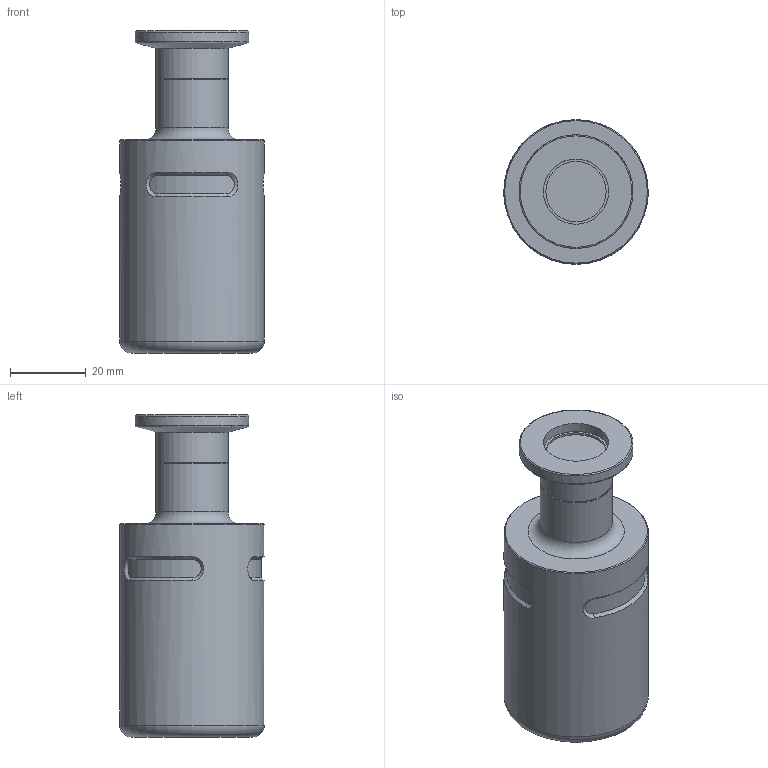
import cadquery as cq
import math

total_height = 84.96

body_diameter = 38.1
body_height = 56.2
body_top_chamfer = 0.25
body_bottom_fillet = 3.175

tube_diameter = 19.05
tube_base_fillet = 3.175
seam_depth_below_top = 12.7
seam_groove_width = 0.4

flange_diameter = 30.0
flange_rim_thickness = 3.1
flange_back_angle = 15.0
flange_edge_fillet = 0.3

recess_diameter = 17.2
recess_depth = 2.6
bore_diameter = 15.9
bore_depth = 3.2

slot_count = 3
slot_width = 6.35
slot_depth = 0.79
slot_span_angle = 61.0
slot_center_height = 44.4
first_slot_angle = -90.0
cutter_overlap = 0.5

body_radius = body_diameter / 2
tube_radius = tube_diameter / 2
flange_radius = flange_diameter / 2


def make_body():
    body = cq.Workplane("XY").circle(body_radius).extrude(body_height)
    body = body.faces(">Z").edges().chamfer(body_top_chamfer)
    return body.faces("<Z").edges().fillet(body_bottom_fillet)


def make_neck_and_flange():
    """Revolved tube, concave base fillet, seam groove and flange, starting at the body's top face."""
    seam_z = total_height - seam_depth_below_top
    half_groove = seam_groove_width / 2
    rim_bottom = total_height - flange_rim_thickness
    back_drop = (flange_radius - tube_radius) * math.tan(math.radians(flange_back_angle))
    fillet_mid_offset = tube_base_fillet * (1 - math.sqrt(0.5))
    profile = (
        cq.Workplane("XZ")
        .moveTo(0, body_height)
        .lineTo(tube_radius + tube_base_fillet, body_height)
        .threePointArc(
            (tube_radius + fillet_mid_offset, body_height + fillet_mid_offset),
            (tube_radius, body_height + tube_base_fillet),
        )
        .lineTo(tube_radius, seam_z - half_groove)
        .lineTo(tube_radius - half_groove, seam_z)
        .lineTo(tube_radius, seam_z + half_groove)
        .lineTo(tube_radius, rim_bottom - back_drop)
        .lineTo(flange_radius, rim_bottom)
        .lineTo(flange_radius, total_height)
        .lineTo(0, total_height)
        .close()
    )
    neck = profile.revolve(360, (0, 0, 0), (0, 1, 0))
    rim_edges = cq.selectors.RadiusNthSelector(-1)
    return neck.edges(rim_edges).fillet(flange_edge_fillet)


def make_flange_recess():
    """Stepped round pocket cut down from the flange face."""
    face = cq.Workplane("XY", origin=(0, 0, total_height))
    recess = face.circle(recess_diameter / 2).extrude(-recess_depth)
    bore = face.circle(bore_diameter / 2).extrude(-bore_depth)
    return recess.union(bore)


def make_slot_cutter():
    """Shallow slot cutter with 45 degree walls and round ends, wrapped about Z and centred on +X."""
    floor_radius = body_radius - slot_depth
    outer_radius = body_radius + cutter_overlap
    outer_half_width = slot_width / 2 + cutter_overlap
    apex_radius = outer_radius - outer_half_width

    wedge = (
        cq.Workplane("XZ")
        .moveTo(apex_radius, 0)
        .lineTo(outer_radius, -outer_half_width)
        .lineTo(outer_radius, outer_half_width)
        .close()
        .revolve(slot_span_angle, (0, 0, 0), (0, 1, 0))
        .rotate((0, 0, 0), (0, 0, 1), -slot_span_angle / 2)
    )

    cone = cq.Workplane(
        cq.Solid.makeCone(
            0,
            outer_half_width,
            outer_half_width,
            pnt=cq.Vector(apex_radius, 0, 0),
            dir=cq.Vector(1, 0, 0),
        )
    )
    cutter = wedge
    for end_angle in (-slot_span_angle / 2, slot_span_angle / 2):
        cutter = cutter.union(cone.rotate((0, 0, 0), (0, 0, 1), end_angle))

    floor_cylinder = cq.Workplane("XY").circle(floor_radius).extrude(slot_width, both=True)
    return cutter.cut(floor_cylinder).translate((0, 0, slot_center_height))


result = make_body().union(make_neck_and_flange()).cut(make_flange_recess())

slot_cutter = make_slot_cutter()
for slot_index in range(slot_count):
    slot_angle = first_slot_angle + slot_index * 360 / slot_count
    result = result.cut(slot_cutter.rotate((0, 0, 0), (0, 0, 1), slot_angle))